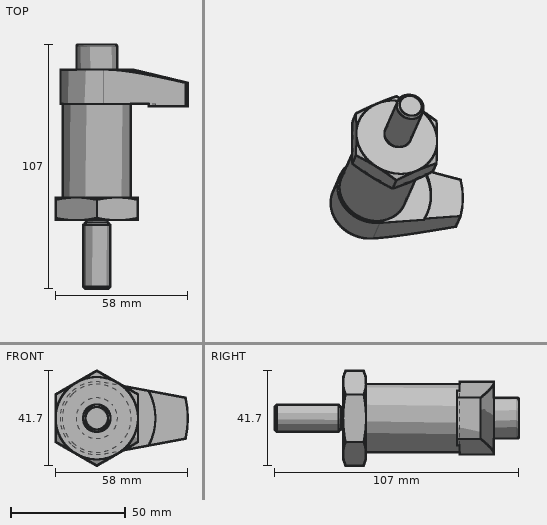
import cadquery as cq
import math

TOTAL_LENGTH = 107.0
NUT_BOTTOM = 30.1
NUT_TOP = 40.0
HUB_BOTTOM = 81.0
HUB_TOP = 96.0

PIN_RADIUS = 12.0 / 2
NECK_RADIUS = 9.4 / 2
NECK_LENGTH = 1.1
PIN_CHAMFER = 1.1
BODY_RADIUS = 30.0 / 2
HUB_RADIUS = 32.0 / 2
BUTTON_RADIUS = 18.0 / 2
BUTTON_ROUNDING = 1.0

NUT_ACROSS_FLATS = 36.1
NUT_CHAMFER_ANGLE = 20.0

LEVER_REACH = 39.9
LEVER_STEP_RADIUS = 25.7
LEVER_PAD_BOTTOM = 79.9
LEVER_TIP_TOP = 90.2
LEVER_TAPER_ANGLE = 10.6


def revolve_profile(points):
    """Revolve a closed (radius, Y) profile about the Y axis."""
    return cq.Workplane("XY").polyline(points).close().revolve(360, (0, 0, 0), (0, 1, 0))


def cylinder(radius, bottom, top):
    """Cylinder along Y between two stations."""
    return cq.Workplane("XZ", origin=(0, top, 0)).circle(radius).extrude(top - bottom)


def make_pin():
    """Pin chamfered at both ends, joined to the nut by a thinner neck."""
    shoulder = NUT_BOTTOM - NECK_LENGTH
    pin = cylinder(PIN_RADIUS, 0, shoulder).edges().chamfer(PIN_CHAMFER)
    return pin.union(cylinder(NECK_RADIUS, shoulder, NUT_BOTTOM))


def make_nut():
    """Hexagon with corners on +Z and -Z, trimmed by a cone at each end."""
    flat_radius = NUT_ACROSS_FLATS / 2
    corner_radius = flat_radius / math.cos(math.radians(30))
    chamfer_height = (corner_radius - flat_radius) * math.tan(math.radians(NUT_CHAMFER_ANGLE))
    prism = (
        cq.Workplane("XZ", origin=(0, NUT_TOP, 0))
        .transformed(rotate=(0, 0, 30))
        .polygon(6, 2 * corner_radius)
        .extrude(NUT_TOP - NUT_BOTTOM)
    )
    envelope = revolve_profile([
        (0, NUT_BOTTOM),
        (flat_radius, NUT_BOTTOM),
        (corner_radius, NUT_BOTTOM + chamfer_height),
        (corner_radius, NUT_TOP - chamfer_height),
        (flat_radius, NUT_TOP),
        (0, NUT_TOP),
    ])
    return prism.intersect(envelope)


def make_lever():
    """Tapered arm tangent to the hub, with a conical top and a stepped underside."""
    taper = math.radians(LEVER_TAPER_ANGLE)
    tangent_x = HUB_RADIUS * math.sin(taper)
    tangent_z = HUB_RADIUS * math.cos(taper)
    tip_z = tangent_z - (LEVER_REACH - tangent_x) * math.tan(taper)
    wedge = (
        cq.Workplane("XZ", origin=(0, HUB_TOP, 0))
        .polyline([
            (0, 0),
            (tangent_x, tangent_z),
            (LEVER_REACH, tip_z),
            (LEVER_REACH, -tip_z),
            (tangent_x, -tangent_z),
        ])
        .close()
        .extrude(HUB_TOP - LEVER_PAD_BOTTOM)
    )
    envelope = revolve_profile([
        (0, HUB_BOTTOM),
        (LEVER_STEP_RADIUS, HUB_BOTTOM),
        (LEVER_STEP_RADIUS, LEVER_PAD_BOTTOM),
        (LEVER_REACH, LEVER_PAD_BOTTOM),
        (LEVER_REACH, LEVER_TIP_TOP),
        (HUB_RADIUS, HUB_TOP),
        (0, HUB_TOP),
    ])
    return wedge.intersect(envelope)


def make_button():
    """Push button with a rounded outer end."""
    return cylinder(BUTTON_RADIUS, HUB_BOTTOM, TOTAL_LENGTH).edges(">Y").fillet(BUTTON_ROUNDING)


body = cylinder(BODY_RADIUS, NUT_BOTTOM, HUB_TOP)
hub = cylinder(HUB_RADIUS, HUB_BOTTOM, HUB_TOP)
result = body.union(hub).union(make_lever()).union(make_nut()).union(make_pin()).union(make_button())